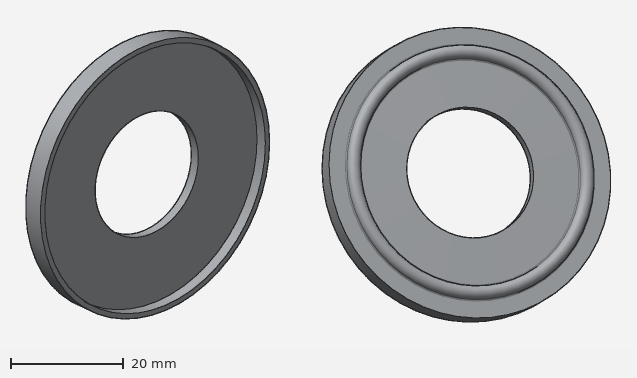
import math

import cadquery as cq


outer_diameter = 52.5
rim_length = 4.2

bore_diameter = 23.6
web_thickness = 2.0
cone_rise = 0.15

overall_length = 5.8
bead_middle_diameter = 43.5
bead_radius = 1.25
foot_fillet_radius = 0.2

recess_diameter = 50.5

outer_radius = outer_diameter / 2
bore_radius = bore_diameter / 2
recess_radius = recess_diameter / 2

face_x = -rim_length
bore_front_x = face_x - cone_rise
web_back_x = bore_front_x + web_thickness

bead_tip_x = -overall_length
bead_centre_x = bead_tip_x + bead_radius
bead_centre_radius = bead_middle_diameter / 2

fillet_centre_x = face_x - foot_fillet_radius
centre_distance = bead_radius + foot_fillet_radius
centre_step_x = fillet_centre_x - bead_centre_x
foot_offset = math.sqrt(centre_distance**2 - centre_step_x**2)

shoulder_x = bead_centre_x + centre_step_x * bead_radius / centre_distance
shoulder_offset = foot_offset * bead_radius / centre_distance

contact_angle = math.atan2(-foot_offset, -centre_step_x)
middle_angle = contact_angle / 2
fillet_middle_x = fillet_centre_x + foot_fillet_radius * math.cos(middle_angle)
fillet_middle_offset = foot_offset + foot_fillet_radius * math.sin(middle_angle)


def make_section():
    """Half section in the XY plane: x along the axis, y the radius."""
    return (
        cq.Workplane("XY")
        .moveTo(web_back_x, bore_radius)
        .lineTo(bore_front_x, bore_radius)
        .lineTo(face_x, bead_centre_radius - foot_offset)
        .threePointArc(
            (fillet_middle_x, bead_centre_radius - fillet_middle_offset),
            (shoulder_x, bead_centre_radius - shoulder_offset),
        )
        .threePointArc(
            (bead_tip_x, bead_centre_radius),
            (shoulder_x, bead_centre_radius + shoulder_offset),
        )
        .threePointArc(
            (fillet_middle_x, bead_centre_radius + fillet_middle_offset),
            (face_x, bead_centre_radius + foot_offset),
        )
        .lineTo(face_x, outer_radius)
        .lineTo(0, outer_radius)
        .lineTo(0, recess_radius)
        .lineTo(web_back_x, recess_radius)
        .close()
    )


result = make_section().revolve(360, (0, 0, 0), (1, 0, 0))